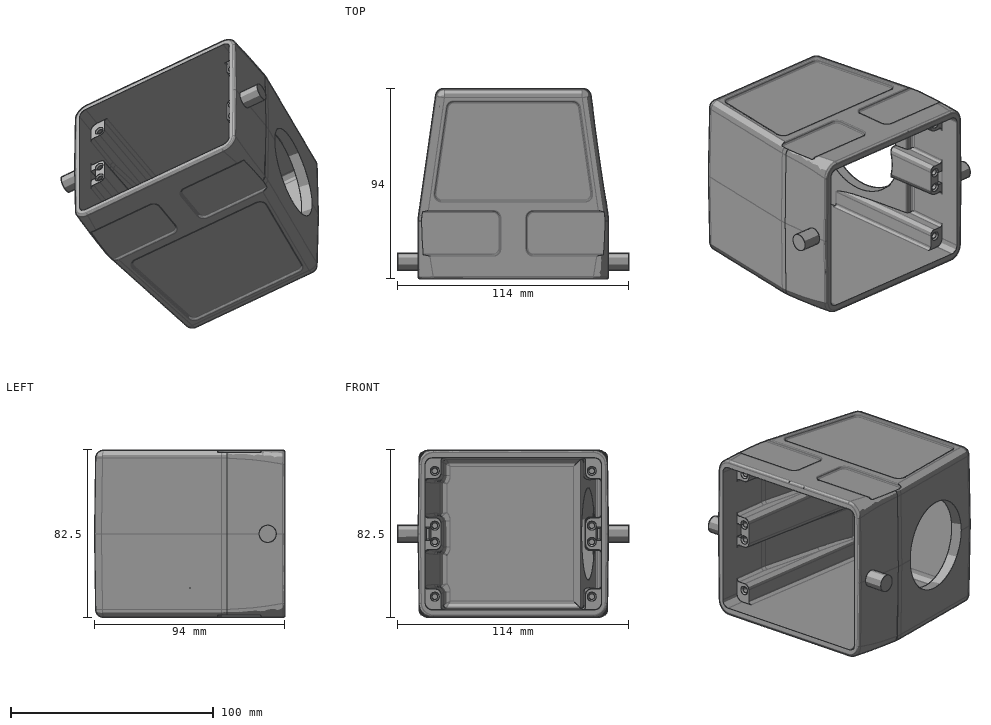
import cadquery as cq
import math

DEPTH = 94.0
HEIGHT = 82.5
HALF_HEIGHT = HEIGHT / 2
HALF_WIDTH = 47.0
DRAFT = 0.8
SIDE_TAPER = 8.1
TAPER_START = 30.0
TAPER_BLEND = 20.0
EDGE_RADIUS = 4.0
RIM_CORNER_RADIUS = 7.25
MID_CORNER_RADIUS = 5.0
RIM_ROUND = 1.2

WALL = 3.5
CAVITY_RIM_HALF_HEIGHT = 37.5
CAVITY_FLOOR_HALF_HEIGHT = 36.6
CAVITY_CORNER_RADIUS = 3.5
CAVITY_FLOOR_RADIUS = 3.4
CAVITY_FLOOR_X = 35.7
ENTRY_WALL = 5.7
ENTRY_WALL_START = 31.6
ENTRY_STEP_LENGTH = 1.0
ENTRY_STEP_RADIUS = 1.0

ENTRY_DIAMETER = 45.4
ENTRY_Y = 60.5

PIN_DIAMETER = 8.5
PIN_Y = 8.6
PIN_SPAN = 114.0

BOSS_FACE_Y = 10.5
BOSS_INNER_X = 35.7
BOSS_DRAFT = 0.9
BOSS_RADIUS = 2.6
BOSS_ROOT_RADIUS = 1.5
CENTRE_BOSS_HALF_HEIGHT = 7.8
CORNER_BOSS_Z = 27.3
SCREW_X = 38.7
SCREW_ZS = (-31.0, -4.0, 4.0, 31.0)
SCREW_DIAMETER = 2.8
SCREW_MOUTH_DIAMETER = 4.4
SCREW_DEPTH = 15.0
SLOT_INNER_X = 40.7
SLOT_HALF_HEIGHT = 3.4
SLOT_DEPTH = 15.0
SLOT_DRAFT = 3.0

PANEL_DEPTH = 1.1
PANEL_WALL_ANGLE = 10.0
PANEL_EDGE_ROUND = 0.45
LARGE_PANEL_FRONT_Y = 38.4
LARGE_PANEL_BACK_Y = 87.5
LARGE_PANEL_SIDE_MARGIN = 6.5
SMALL_PANEL_FRONT_Y = 11.7
SMALL_PANEL_BACK_Y = 33.5
SMALL_PANEL_INNER_X = 6.5
PANEL_RADIUS = 3.5

TAPER_SLOPE = math.tan(math.radians(SIDE_TAPER))
WALL_ALONG_X = WALL / math.cos(math.radians(SIDE_TAPER))
ENTRY_WALL_ALONG_X = ENTRY_WALL / math.cos(math.radians(SIDE_TAPER))
BLEND_LENGTH = TAPER_BLEND * math.tan(math.radians(SIDE_TAPER / 2))
RIM_ZONE = TAPER_START - BLEND_LENGTH
FLOOR_Y = DEPTH - WALL
OVERLAP = 5.0


def side_x(y):
    """Half width of the hood at the parting plane, on the converging sides."""
    return HALF_WIDTH - (y - TAPER_START) * TAPER_SLOPE


def around(x, y, z, reach=0.3, reach_y=0.3):
    """Selector for whatever is centred close to a point."""
    return cq.selectors.BoxSelector(
        (x - reach, y - reach_y, z - reach), (x + reach, y + reach_y, z + reach)
    )


def tapered_shell():
    """Hood behind the rim zone: two drafted halves meeting at Z = 0, all edges rounded."""
    outline = (
        cq.Workplane("XY")
        .moveTo(-HALF_WIDTH, -OVERLAP)
        .lineTo(-HALF_WIDTH, TAPER_START)
        .lineTo(-side_x(DEPTH), DEPTH)
        .lineTo(side_x(DEPTH), DEPTH)
        .lineTo(HALF_WIDTH, TAPER_START)
        .lineTo(HALF_WIDTH, -OVERLAP)
        .close()
    )
    upper = outline.extrude(HALF_HEIGHT, taper=DRAFT)
    kinks = cq.selectors.BoxSelector(
        (-HEIGHT, TAPER_START - OVERLAP, 0), (HEIGHT, TAPER_START + OVERLAP, HEIGHT)
    )
    upper = upper.edges("not(|X or |Y)").edges(kinks).edges("not(#Z)").fillet(TAPER_BLEND)
    back_corners = cq.selectors.BoxSelector(
        (-HEIGHT, DEPTH - OVERLAP, 1), (HEIGHT, DEPTH + OVERLAP, HALF_HEIGHT - 1)
    )
    upper = upper.edges(back_corners).fillet(EDGE_RADIUS)
    upper = upper.faces(">Z").edges("not <Y").fillet(EDGE_RADIUS)
    whole = upper.union(upper.mirror("XY"))
    rim_side = cq.Workplane("XY").box(3 * HEIGHT, 2 * RIM_ZONE, 3 * HEIGHT)
    return whole.cut(rim_side)


def rim_section(y, radius):
    """Cross-section of the rim zone: drafted sides and rounded corners."""
    draft = math.radians(DRAFT)
    centre_z = HALF_HEIGHT - radius
    centre_x = HALF_WIDTH - centre_z * math.tan(draft) - radius / math.cos(draft)
    middle = (draft + math.pi / 2) / 2

    def corner_point(angle, x_sign, z_sign):
        return (
            x_sign * (centre_x + radius * math.cos(angle)),
            z_sign * (centre_z + radius * math.sin(angle)),
        )

    side, top = draft, math.pi / 2
    return (
        cq.Workplane("XZ", origin=(0, y, 0))
        .moveTo(HALF_WIDTH, 0)
        .lineTo(*corner_point(side, 1, 1))
        .threePointArc(corner_point(middle, 1, 1), corner_point(top, 1, 1))
        .lineTo(*corner_point(top, -1, 1))
        .threePointArc(corner_point(middle, -1, 1), corner_point(side, -1, 1))
        .lineTo(-HALF_WIDTH, 0)
        .lineTo(*corner_point(side, -1, -1))
        .threePointArc(corner_point(middle, -1, -1), corner_point(top, -1, -1))
        .lineTo(*corner_point(top, 1, -1))
        .threePointArc(corner_point(middle, 1, -1), corner_point(side, 1, -1))
        .close()
        .val()
    )


def rim_zone():
    """Straight-sided front of the hood whose corner radius grows towards the rim."""
    sections = [
        rim_section(RIM_ZONE, EDGE_RADIUS),
        rim_section(RIM_ZONE / 2, MID_CORNER_RADIUS),
        rim_section(0, RIM_CORNER_RADIUS),
    ]
    zone = cq.Workplane(obj=cq.Solid.makeLoft(sections))
    return zone.faces("<Y").edges().fillet(RIM_ROUND)


def cavity_blank():
    """Inside of the hood without bosses; the +X wall steps inwards around the cable entry."""
    rim_x = HALF_WIDTH - WALL_ALONG_X
    step_end = ENTRY_WALL_START + ENTRY_STEP_LENGTH
    plan = (
        cq.Workplane("XY", origin=(0, 0, -HALF_HEIGHT))
        .polyline([
            (-rim_x, -OVERLAP),
            (-rim_x, TAPER_START),
            (-CAVITY_FLOOR_X, FLOOR_Y),
            (side_x(FLOOR_Y) - ENTRY_WALL_ALONG_X, FLOOR_Y),
            (side_x(step_end) - ENTRY_WALL_ALONG_X, step_end),
            (side_x(ENTRY_WALL_START) - WALL_ALONG_X, ENTRY_WALL_START),
            (rim_x, TAPER_START),
            (rim_x, -OVERLAP),
        ])
        .close()
        .extrude(HEIGHT)
    )
    slope = (CAVITY_RIM_HALF_HEIGHT - CAVITY_FLOOR_HALF_HEIGHT) / FLOOR_Y
    front_z = CAVITY_RIM_HALF_HEIGHT + slope * OVERLAP
    profile = (
        cq.Workplane("YZ", origin=(-HALF_WIDTH, 0, 0))
        .polyline([
            (-OVERLAP, front_z),
            (FLOOR_Y, CAVITY_FLOOR_HALF_HEIGHT),
            (FLOOR_Y, -CAVITY_FLOOR_HALF_HEIGHT),
            (-OVERLAP, -front_z),
        ])
        .close()
        .extrude(2 * HALF_WIDTH)
    )
    space = plan.intersect(profile)
    space = space.edges(around(-rim_x, TAPER_START, 0)).fillet(TAPER_BLEND)
    step_base = (side_x(ENTRY_WALL_START) - WALL_ALONG_X, ENTRY_WALL_START, 0)
    step_top = (side_x(step_end) - ENTRY_WALL_ALONG_X, step_end, 0)
    for point in (step_base, step_top):
        space = space.edges(around(*point)).fillet(ENTRY_STEP_RADIUS)
    return space


def boss(z_low, z_high, x_sign):
    """One screw boss from its front face to the back wall, widening by its draft."""
    length = FLOOR_Y + 1 - BOSS_FACE_Y
    growth = length * math.tan(math.radians(BOSS_DRAFT))
    width = HALF_WIDTH - BOSS_INNER_X
    block = (
        cq.Workplane("XZ", origin=(0, FLOOR_Y + 1, 0))
        .center(x_sign * (BOSS_INNER_X + width / 2), (z_low + z_high) / 2)
        .rect(width + 2 * growth, z_high - z_low + 2 * growth)
        .extrude(length, taper=BOSS_DRAFT)
    )
    inner_side = "<X" if x_sign > 0 else ">X"
    return block.faces(inner_side).edges("not(|Z)").fillet(BOSS_RADIUS)


def bosses():
    """Centre and corner bosses along both side walls."""
    spans = (
        (-HALF_HEIGHT, -CORNER_BOSS_Z),
        (-CENTRE_BOSS_HALF_HEIGHT, CENTRE_BOSS_HALF_HEIGHT),
        (CORNER_BOSS_Z, HALF_HEIGHT),
    )
    group = cq.Workplane("XY")
    for x_sign in (-1, 1):
        for z_low, z_high in spans:
            group = group.union(boss(z_low, z_high, x_sign))
    return group


def cavity():
    """Inside of the hood around the bosses, with rounded floor, boss roots and corners."""
    space = cavity_blank().cut(bosses())
    space = space.edges(around(0, FLOOR_Y, 0, HALF_WIDTH)).fillet(CAVITY_FLOOR_RADIUS)
    wall_x = HALF_WIDTH - WALL_ALONG_X
    straight_y = (BOSS_FACE_Y + TAPER_START) / 2
    for x in (-wall_x, wall_x):
        for z in (CENTRE_BOSS_HALF_HEIGHT, CORNER_BOSS_Z):
            for z_sign in (-1, 1):
                root = around(x, straight_y, z_sign * z, 0.6, 6)
                space = space.edges(root).fillet(BOSS_ROOT_RADIUS)
    for x in (-BOSS_INNER_X, BOSS_INNER_X):
        for z in (-CAVITY_RIM_HALF_HEIGHT, CAVITY_RIM_HALF_HEIGHT):
            root = around(x, DEPTH / 2, z, 2, 20)
            space = space.edges(root).fillet(BOSS_ROOT_RADIUS)
            corner = around(math.copysign(wall_x, x), BOSS_FACE_Y / 2, z, 0.5, 5)
            space = space.edges(corner).fillet(CAVITY_CORNER_RADIUS)
    return space


def screw_holes():
    """Blind screw holes with a countersunk mouth in the boss faces."""
    places = [(sign * SCREW_X, z) for sign in (-1, 1) for z in SCREW_ZS]
    face = cq.Workplane("XZ", origin=(0, BOSS_FACE_Y, 0)).pushPoints(places)
    bores = face.circle(SCREW_DIAMETER / 2).extrude(-SCREW_DEPTH)
    mouth_depth = (SCREW_MOUTH_DIAMETER - SCREW_DIAMETER) / 2
    mouth = cq.Solid.makeCone(
        SCREW_MOUTH_DIAMETER / 2, SCREW_DIAMETER / 2, mouth_depth, dir=cq.Vector(0, 1, 0)
    )
    for x, z in places:
        bores = bores.union(cq.Workplane(obj=mouth.translate(cq.Vector(x, BOSS_FACE_Y, z))))
    return bores


def boss_slots():
    """Slots between the centre bosses and the side walls."""
    width = HALF_WIDTH - WALL_ALONG_X - SLOT_INNER_X
    return (
        cq.Workplane("XZ", origin=(0, BOSS_FACE_Y, 0))
        .pushPoints([(sign * (SLOT_INNER_X + width / 2), 0) for sign in (-1, 1)])
        .rect(width, 2 * SLOT_HALF_HEIGHT)
        .extrude(-SLOT_DEPTH, taper=SLOT_DRAFT)
    )


def cable_entry():
    """Round cable entry square to the converging +X wall."""
    taper = math.radians(SIDE_TAPER)
    outward = cq.Vector(math.cos(taper), math.sin(taper), 0)
    wall_point = cq.Vector(side_x(ENTRY_Y) - ENTRY_WALL_ALONG_X, ENTRY_Y, 0)
    start = wall_point - outward * OVERLAP
    length = ENTRY_WALL + 2 * OVERLAP
    return cq.Workplane(obj=cq.Solid.makeCylinder(ENTRY_DIAMETER / 2, length, start, outward))


def panel(points):
    """Recess in the top face with sloping walls, rounded corners and a rounded mouth."""
    top = cq.Workplane("XY", origin=(0, 0, HALF_HEIGHT))
    recess = (
        top.polyline(points)
        .close()
        .extrude(-PANEL_DEPTH, taper=PANEL_WALL_ANGLE)
        .edges("not #Z")
        .fillet(PANEL_RADIUS)
    )
    recess = recess.faces("<Z").edges().fillet(PANEL_EDGE_ROUND)
    clearance = top.rect(PIN_SPAN, 2 * DEPTH).extrude(OVERLAP)
    tool = recess.union(clearance)
    mouth = cq.selectors.BoxSelector(
        (-PIN_SPAN / 2 + 1, 0, HALF_HEIGHT - PANEL_EDGE_ROUND / 2),
        (PIN_SPAN / 2 - 1, DEPTH - 1, HALF_HEIGHT + PANEL_EDGE_ROUND / 2),
    )
    return tool.edges(mouth).fillet(PANEL_EDGE_ROUND)


def large_panel():
    """Panel following the converging sides."""
    front_x = side_x(LARGE_PANEL_FRONT_Y) - LARGE_PANEL_SIDE_MARGIN
    back_x = side_x(LARGE_PANEL_BACK_Y) - LARGE_PANEL_SIDE_MARGIN
    return panel([
        (-front_x, LARGE_PANEL_FRONT_Y),
        (front_x, LARGE_PANEL_FRONT_Y),
        (back_x, LARGE_PANEL_BACK_Y),
        (-back_x, LARGE_PANEL_BACK_Y),
    ])


def small_panel():
    """Panel beside the middle, running out through the +X edge."""
    outer_x = HALF_WIDTH + OVERLAP
    return panel([
        (SMALL_PANEL_INNER_X, SMALL_PANEL_FRONT_Y),
        (outer_x, SMALL_PANEL_FRONT_Y),
        (outer_x, SMALL_PANEL_BACK_Y),
        (SMALL_PANEL_INNER_X, SMALL_PANEL_BACK_Y),
    ])


def pins():
    """Locking pins on both sides, standing in the wall without entering the cavity."""
    root_x = HALF_WIDTH - WALL / 2
    pin = (
        cq.Workplane("YZ", origin=(root_x, 0, 0))
        .center(PIN_Y, 0)
        .circle(PIN_DIAMETER / 2)
        .extrude(PIN_SPAN / 2 - root_x)
    )
    return pin.union(pin.mirror("YZ"))


outer = tapered_shell().union(rim_zone())
panels = large_panel().union(small_panel()).union(small_panel().mirror("YZ"))
outer = outer.cut(panels).cut(panels.mirror("XY"))
hood = outer.cut(cavity())
hood = hood.cut(boss_slots()).cut(screw_holes()).cut(cable_entry())
result = hood.union(pins())